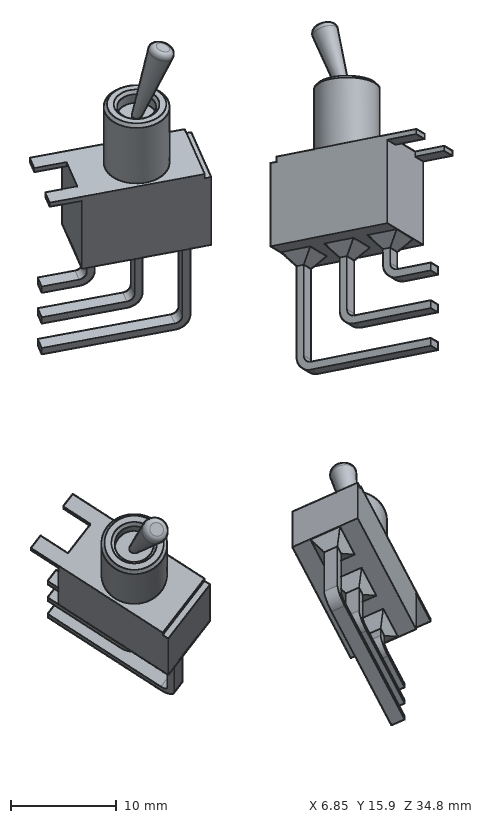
import cadquery as cq
import math

body_width = 6.85
body_length = 12.7
body_height = 8.4

overall_length = 15.9
front_reach = overall_length - body_length / 2
plate_thickness = 0.52
plate_back = 5.7
fork_gap = 3.7

bushing_diameter = 6.25
bushing_radius = bushing_diameter / 2
bushing_top = 16.1
bore_radius = 1.85
bore_floor = 14.7
rim_chamfer = 0.3

lever_tilt = 18.2
lever_base_radius = 0.45
lever_tip_radius = 1.32
lever_tip_round = 0.6
overall_height = 34.85
lowest_terminal = -12.05
top_height = overall_height + lowest_terminal
lever_root = 0.17

terminal_pitch = 4.7
terminal_width = 1.4
terminal_thickness = 0.8
bend_outer_radius = 1.57
terminal_drop = 3.8
collar_length = 3.2
collar_width = 3.1
collar_height = 1.35

body_front = -body_length / 2
plate_top = body_height + plate_thickness


def make_housing():
    return cq.Workplane("XY").box(body_width, body_length, body_height, centered=(True, True, False))


def make_plate():
    plate = (
        cq.Workplane("XY", origin=(0, (plate_back - front_reach) / 2, body_height))
        .box(body_width, plate_back + front_reach, plate_thickness, centered=(True, True, False))
    )
    gap_depth = front_reach + body_front
    gap = (
        cq.Workplane("XY", origin=(0, body_front - gap_depth / 2, body_height))
        .box(fork_gap, gap_depth, plate_thickness, centered=(True, True, False))
    )
    return plate.cut(gap)


def make_bushing():
    """Revolved sleeve with a blind bore and both rim edges chamfered."""
    return (
        cq.Workplane("XZ")
        .moveTo(0, plate_top)
        .lineTo(bushing_radius, plate_top)
        .lineTo(bushing_radius, bushing_top - rim_chamfer)
        .lineTo(bushing_radius - rim_chamfer, bushing_top)
        .lineTo(bore_radius + rim_chamfer, bushing_top)
        .lineTo(bore_radius, bushing_top - rim_chamfer)
        .lineTo(bore_radius, bore_floor)
        .lineTo(0, bore_floor)
        .close()
        .revolve(360, (0, 0), (0, 1))
    )


def make_lever():
    """Cone widening to a rounded tip; its short root is buried in the bore floor."""
    tilt = math.radians(lever_tilt)
    round_centre_radius = lever_tip_radius - lever_tip_round
    round_centre_height = top_height - bore_floor - lever_tip_round
    length = (round_centre_height - round_centre_radius * math.sin(tilt)) / math.cos(tilt) + lever_tip_round
    lever = (
        cq.Workplane("XZ")
        .moveTo(0, -lever_root)
        .lineTo(lever_base_radius, -lever_root)
        .lineTo(lever_tip_radius, length)
        .lineTo(0, length)
        .close()
        .revolve(360, (0, 0), (0, 1))
        .faces(">Z")
        .edges()
        .fillet(lever_tip_round)
    )
    return lever.rotate((0, 0, 0), (1, 0, 0), -lever_tilt).translate((0, 0, bore_floor))


def make_terminal(y, bottom):
    """Tapered collar and an L-shaped strip with a rounded bend."""
    collar = (
        cq.Workplane("XY", origin=(0, y, 0))
        .rect(collar_width, collar_length)
        .workplane(offset=-collar_height)
        .rect(terminal_width, terminal_thickness)
        .loft(ruled=True)
    )
    back = y + terminal_thickness / 2
    front = back - terminal_thickness
    top = bottom + terminal_thickness
    bend_y = back - bend_outer_radius
    bend_z = bottom + bend_outer_radius
    inner_radius = bend_outer_radius - terminal_thickness
    diagonal = math.sqrt(0.5)
    strip = (
        cq.Workplane("YZ")
        .moveTo(back, -collar_height)
        .lineTo(back, bend_z)
        .threePointArc(
            (bend_y + bend_outer_radius * diagonal, bend_z - bend_outer_radius * diagonal),
            (bend_y, bottom),
        )
        .lineTo(-front_reach, bottom)
        .lineTo(-front_reach, top)
        .lineTo(bend_y, top)
        .threePointArc(
            (bend_y + inner_radius * diagonal, bend_z - inner_radius * diagonal),
            (front, bend_z),
        )
        .lineTo(front, -collar_height)
        .close()
        .extrude(terminal_width / 2, both=True)
    )
    return collar.union(strip)


result = make_housing().union(make_plate()).union(make_bushing()).union(make_lever())
for index in range(3):
    terminal_y = (1 - index) * terminal_pitch
    terminal_bottom = lowest_terminal + index * terminal_drop
    result = result.union(make_terminal(terminal_y, terminal_bottom))